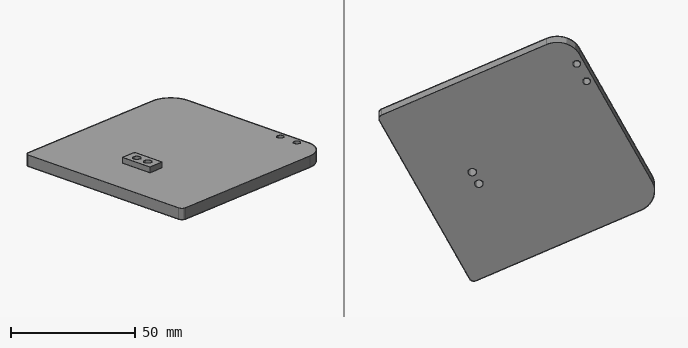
import cadquery as cq

plate_side = 86.0
plate_thickness = 5.0
back_corner_radius = 10.0
front_corner_radius = 2.0

pad_length = 15.0
pad_width = 7.2
pad_height = 2.5
pad_from_front = 23.0
pad_hole_diameter = 3.4
pad_hole_spacing = 6.0

edge_hole_diameter = 3.0
edge_hole_spacing = 9.0
edge_hole_from_back = 3.0
edge_holes_center_x = 25.0

half_side = plate_side / 2
pad_center_y = pad_from_front - half_side
edge_hole_y = half_side - edge_hole_from_back


def make_plate():
    """Square plate with large rounds at the back and small rounds at the front."""
    plate = cq.Workplane("XY").box(plate_side, plate_side, plate_thickness, centered=(True, True, False))
    plate = plate.edges("|Z and >Y").fillet(back_corner_radius)
    return plate.edges("|Z and <Y").fillet(front_corner_radius)


def make_pad():
    """Rectangular pad standing on the top face of the plate."""
    return (
        cq.Workplane("XY", origin=(0, pad_center_y, plate_thickness))
        .box(pad_length, pad_width, pad_height, centered=(True, True, False))
    )


def make_hole_pair(center_x, center_y, spacing, diameter):
    """Two vertical cylinders side by side along X, tall enough to pass through the part."""
    return (
        cq.Workplane("XY", origin=(center_x, center_y, 0))
        .pushPoints([(-spacing / 2, 0), (spacing / 2, 0)])
        .circle(diameter / 2)
        .extrude(plate_thickness + pad_height)
    )


pad_holes = make_hole_pair(0, pad_center_y, pad_hole_spacing, pad_hole_diameter)
edge_holes = make_hole_pair(edge_holes_center_x, edge_hole_y, edge_hole_spacing, edge_hole_diameter)

result = make_plate().union(make_pad()).cut(pad_holes).cut(edge_holes)